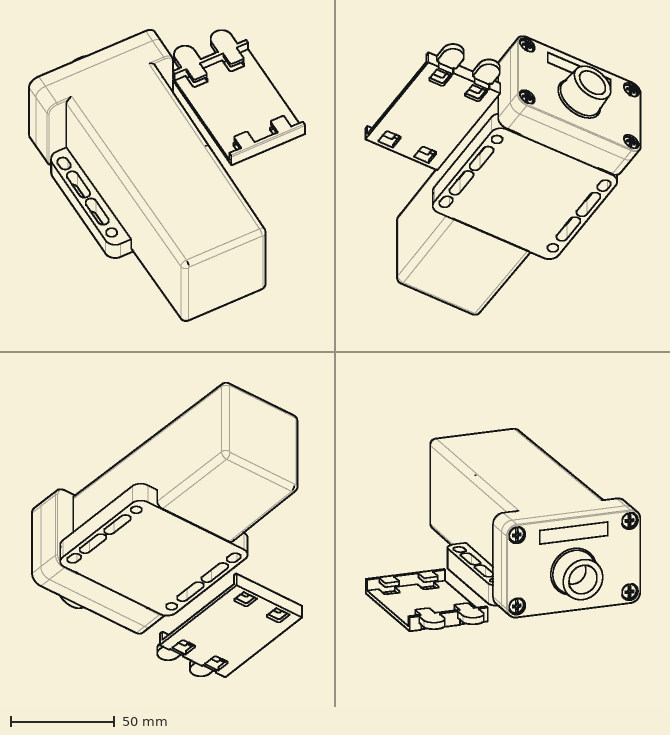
import cadquery as cq
import math


head_length = 19.0
lid_thickness = 7.0
head_width = 69.2
head_height = 47.6
head_corner_radius = 5.3
head_front_fillet = 0.5
head_back_fillet = 0.7

body_end_x = 135.0
body_start_width = 48.7
body_end_width = 46.2
body_end_drop = 0.7
draft_angle = math.degrees(math.atan(body_end_drop / (body_end_x - lid_thickness)))
body_edge_fillet = 3.1
body_end_fillet = 2.7

flange_end_x = 83.3
flange_width = 69.6
flange_thickness = 10.3
flange_corner_radius = 5.3
flange_center_x = (head_length + flange_end_x) / 2
hole_diameter = 5.3
hole_row_y = 30.0
end_hole_offset = 24.0
end_slot_length = 7.7
long_slot_offset = 9.5
long_slot_length = 17.5

nozzle_length = 12.5
nozzle_z = 19.9
nozzle_tip_radius = 10.2
nozzle_base_radius = 11.0
nozzle_foot_radius = 11.8
nozzle_foot_length = 0.9
bore_tip_radius = 7.2
bore_bottom_radius = 6.3

label_width = 35.1
label_height = 7.0
label_z = 39.5
label_depth = 0.1

screw_y = 29.0
screw_low_z = 5.8
screw_high_z = 42.0
screw_pocket_radius = 4.1
screw_pocket_depth = 1.2
screw_head_radius = 3.7
screw_head_rise = 1.0
screw_slot_width = 1.0
screw_slot_depth = 0.9
screw_short_slot = 4.1

bracket_length = 59.5
bracket_min_y = 44.2
bracket_width = 40.3
front_wall_height = 7.1
rear_wall_height = 7.5
bracket_floor = 2.0
bracket_wall = 2.0
rear_edge_fillet = 0.6
tab_center_y = bracket_min_y + bracket_width / 2
tab_offset_y = 10.0
tab_width = 10.6
tab_thickness = 3.4
tab_reach = 11.5
tab_recess_depth = 0.7
window_reach = 10.2
window_width = 8.3
window_corner_radius = 1.2
hook_thickness = 2.0
hook_clearance = 0.5


def make_head():
    """Straight lid in front, drafted housing rim behind it."""
    outline = (
        cq.Sketch()
        .rect(head_width, head_height)
        .vertices()
        .fillet(head_corner_radius)
    )
    lid = cq.Workplane("YZ", origin=(0, 0, head_height / 2)).placeSketch(outline).extrude(lid_thickness)
    lid = lid.faces("<X").edges().fillet(head_front_fillet)
    rim = (
        cq.Workplane("YZ", origin=(lid_thickness, 0, head_height / 2))
        .placeSketch(outline)
        .extrude(head_length - lid_thickness, taper=draft_angle)
    )
    rim = rim.faces(">X").edges().fillet(head_back_fillet)
    return lid.union(rim)


def make_body():
    body = (
        cq.Workplane("YZ", origin=(lid_thickness, 0, head_height / 2))
        .rect(body_start_width, head_height)
        .workplane(offset=body_end_x - lid_thickness)
        .rect(body_end_width, head_height - 2 * body_end_drop)
        .loft(ruled=True)
    )
    body = body.edges("not(<X or >X)").fillet(body_edge_fillet)
    return body.faces(">X").edges().fillet(body_end_fillet)


def make_flange():
    flange_length = flange_end_x - head_length
    flange = (
        cq.Workplane("XY")
        .center(flange_center_x, 0)
        .rect(flange_length, flange_width)
        .extrude(flange_thickness)
        .edges("|Z")
        .fillet(flange_corner_radius)
    )
    long_slots = [
        (flange_center_x + side_x * long_slot_offset, side_y * hole_row_y)
        for side_x in (-1, 1)
        for side_y in (-1, 1)
    ]
    round_holes = [
        (flange_center_x - side * end_hole_offset, side * hole_row_y) for side in (-1, 1)
    ]
    end_slots = [
        (flange_center_x + side * end_hole_offset, side * hole_row_y) for side in (-1, 1)
    ]
    openings = (
        cq.Workplane("XY")
        .pushPoints(long_slots)
        .slot2D(long_slot_length, hole_diameter)
        .pushPoints(end_slots)
        .slot2D(end_slot_length, hole_diameter)
        .pushPoints(round_holes)
        .circle(hole_diameter / 2)
        .extrude(flange_thickness)
    )
    return flange.cut(openings)


def make_nozzle():
    """Hollow cone along -X, with a flared foot on the head face."""
    profile = [
        (0, nozzle_foot_radius),
        (-nozzle_foot_length, nozzle_base_radius),
        (-nozzle_length, nozzle_tip_radius),
        (-nozzle_length, bore_tip_radius),
        (0, bore_bottom_radius),
    ]
    return (
        cq.Workplane("XY")
        .polyline(profile)
        .close()
        .revolve(360, (0, 0), (1, 0))
        .translate((0, 0, nozzle_z))
    )


def make_label_recess():
    return (
        cq.Workplane("YZ")
        .center(0, label_z)
        .rect(label_width, label_height)
        .extrude(label_depth)
    )


def make_screw_pocket():
    """Space around a domed, cross-slotted screw head sunk into the head face."""
    dome_tip_x = screw_pocket_depth - screw_head_rise
    dome_radius = (screw_head_radius**2 + screw_head_rise**2) / (2 * screw_head_rise)
    pocket = cq.Workplane("YZ").circle(screw_pocket_radius).extrude(screw_pocket_depth)
    dome = cq.Workplane("XY").sphere(dome_radius).translate((dome_tip_x + dome_radius, 0, 0))
    slot_bottom = dome_tip_x + screw_slot_depth
    slots = (
        cq.Workplane("YZ")
        .rect(screw_slot_width, 2 * screw_head_radius)
        .extrude(slot_bottom)
        .union(cq.Workplane("YZ").rect(screw_short_slot, screw_slot_width).extrude(slot_bottom))
    )
    return pocket.cut(dome).union(slots)


def make_housing():
    housing = make_head().union(make_body()).union(make_flange()).union(make_nozzle())
    housing = housing.cut(make_label_recess())
    for y in (-screw_y, screw_y):
        for z in (screw_low_z, screw_high_z):
            housing = housing.cut(make_screw_pocket().translate((0, y, z)))
    return housing


def make_tongue(y, end, inset, bottom, top):
    """Outline of a floor window, shrunk by an inset, between two heights.

    It starts at the outer wall face; end is -1 for the front wall and 1 for the rear wall.
    """
    reach = window_reach - inset
    width = window_width - 2 * inset
    wall_x = 0 if end < 0 else bracket_length
    tip = ">X" if end < 0 else "<X"
    tongue = (
        cq.Workplane("XY", origin=(wall_x - end * reach / 2, y, bottom))
        .rect(reach, width)
        .extrude(top - bottom)
    )
    tongue = tongue.faces(tip).edges("|Z").fillet(window_corner_radius - inset)
    inner_length = bracket_length - 2 * bracket_wall
    between_walls = cq.Workplane("XY", origin=(bracket_wall, y - width / 2, bottom)).box(
        inner_length, width, top - bottom, centered=False
    )
    return tongue.intersect(between_walls)


def make_tab(y):
    """Round-ended tab that sticks out of the front wall."""
    half_width = tab_width / 2
    return (
        cq.Workplane("XY", origin=(0, y, front_wall_height - tab_thickness))
        .moveTo(bracket_wall, half_width)
        .lineTo(half_width - tab_reach, half_width)
        .threePointArc((-tab_reach, 0), (half_width - tab_reach, -half_width))
        .lineTo(bracket_wall, -half_width)
        .close()
        .extrude(tab_thickness)
    )


def make_channel():
    """Floor with a wall along its front edge and another along its rear edge."""
    rear_inner_x = bracket_length - bracket_wall
    profile = [
        (0, 0),
        (bracket_length, 0),
        (bracket_length, rear_wall_height),
        (rear_inner_x, rear_wall_height),
        (rear_inner_x, bracket_floor),
        (bracket_wall, bracket_floor),
        (bracket_wall, front_wall_height),
        (0, front_wall_height),
    ]
    channel = (
        cq.Workplane("XZ", origin=(0, bracket_min_y, 0))
        .polyline(profile)
        .close()
        .extrude(-bracket_width)
    )
    return channel.faces(">X").edges(">Z").fillet(rear_edge_fillet)


def make_bracket():
    bracket = make_channel()
    for y in (tab_center_y - tab_offset_y, tab_center_y + tab_offset_y):
        for end, wall_height in ((-1, front_wall_height), (1, rear_wall_height)):
            window = make_tongue(y, end, 0, 0, bracket_floor)
            hook = make_tongue(y, end, hook_clearance, wall_height - hook_thickness, wall_height)
            bracket = bracket.cut(window).union(hook)
        recess_height = front_wall_height - tab_thickness
        recess = cq.Workplane("XY", origin=(0, y, 0)).box(
            tab_recess_depth, window_width, recess_height, centered=(False, True, False)
        )
        bracket = bracket.cut(recess).union(make_tab(y))
    return bracket


housing = make_housing()
bracket = make_bracket()

result = cq.Compound.makeCompound([housing.val(), bracket.val()])